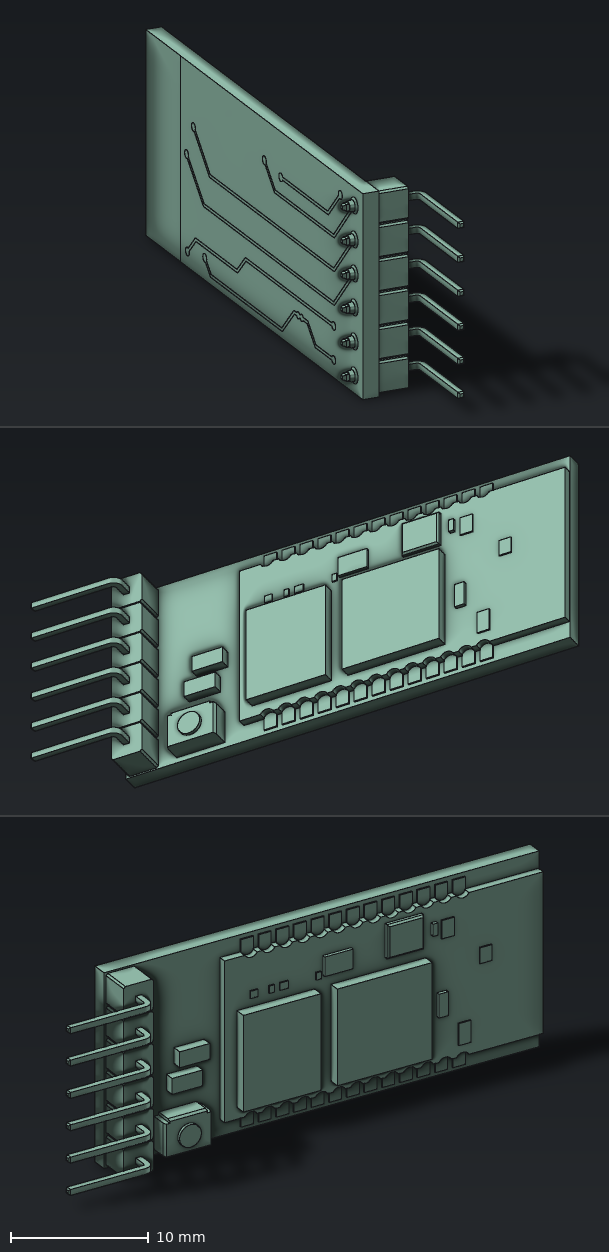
import cadquery as cq


BOARD_LENGTH = 37.0
BOARD_WIDTH = 16.0
BOARD_THICKNESS = 1.3
KEEPOUT_LENGTH = 5.93
MASK_THICKNESS = 0.01

TRACE_WIDTH = 0.25
TRACE_HEIGHT = 0.015
VIA_DIAMETER = 0.65
SMALL_VIA_DIAMETER = 0.55

PIN_COUNT = 6
PIN_PITCH = 2.64
PIN_X = 35.55
PIN_SIZE = 0.5
PIN_TOP_Y = 5.55
PIN_TIP_Y = -1.0
PIN_TIP_X = 42.58
TAIL_TAPER_LENGTH = 0.25
HEAD_TAPER_LENGTH = 0.15
TAPER_SIZE = 0.28
BEND_RADIUS = 0.75
HOUSING_SIZE = 2.54
HOUSING_HEIGHT = 2.45
HOUSING_CHAMFER = 0.15
SOLDER_FOOT_RADIUS = 0.63
SOLDER_NECK_RADIUS = 0.45
SOLDER_FOOT_HEIGHT = 0.14
SOLDER_TOP_RADIUS = 0.38
SOLDER_HEIGHT = 0.52

MODULE_X = 0.05
MODULE_LENGTH = 27.1
MODULE_WIDTH = 13.2
MODULE_THICKNESS = 0.65
CASTELLATION_COUNT = 13
CASTELLATION_PITCH = 1.5
CASTELLATION_DIAMETER = 1.2
CASTELLATION_OFFSET = 0.3
FIRST_CASTELLATION_X = 6.9
PAD_WIDTH = 1.05
PAD_LENGTH = 1.05
PAD_THICKNESS = 0.13
CHIP_HEIGHT = 0.9
CHIP_Z = (2.38, 10.27)
CHIP_X = [(10.05, 18.12), (19.5, 26.1)]
LOW_PART_HEIGHT = 0.12
FLAT_PART_HEIGHT = 0.28
CRYSTAL_HEIGHT = 0.4
CRYSTAL_CHAMFER = 0.15
CRYSTAL_X = (10.4, 13.5)
CRYSTAL_Z = (11.2, 14.0)

LOW_PARTS = [
    ((4.5, 5.5), (8.6, 9.9)),
    ((6.3, 7.3), (2.4, 4.2)),
    ((7.7, 8.75), (11.5, 13.0)),
    ((19.0, 19.4), (11.0, 11.6)),
    ((21.8, 22.5), (11.0, 11.6)),
    ((23.0, 23.4), (11.0, 11.6)),
    ((24.4, 25.0), (11.0, 11.6)),
]
FLAT_PARTS = [
    ((8.3, 9.1), (5.2, 7.15)),
    ((9.2, 9.6), (12.0, 13.0)),
    ((16.4, 18.8), (11.2, 12.8)),
]

BUTTON_X = (28.75, 32.75)
BUTTON_Z = (0.45, 3.15)
BUTTON_HEIGHT = 1.56
BUTTON_FRONT_INSET = 0.4
BUTTON_FRONT_DEPTH = 0.25
BUTTON_RIM_DROP = 0.3
BUTTON_RIM_INSET = 0.1
CAP_DIAMETER = 1.85
CAP_HEIGHT = 0.25
PASSIVE_HEIGHT = 0.8
PASSIVES = [
    ((28.5, 31.05), (7.0, 8.3)),
    ((29.1, 31.7), (5.0, 6.3)),
]

MODULE_TOP = BOARD_THICKNESS + MODULE_THICKNESS
MODULE_Z0 = (BOARD_WIDTH - MODULE_WIDTH) / 2
MODULE_Z1 = MODULE_Z0 + MODULE_WIDTH
HOUSING_TOP = BOARD_THICKNESS + HOUSING_HEIGHT
PIN_Z = [BOARD_WIDTH / 2 + (i - (PIN_COUNT - 1) / 2) * PIN_PITCH for i in range(PIN_COUNT)]

RIGHT_BEND_X = 32.12
RIGHT_VIA_X = 32.06
ROUTES = [
    [(8.19, 11.24), (10.98, 8.41), (RIGHT_BEND_X, 8.41), (PIN_X, PIN_Z[4])],
    [(7.01, 8.74), (9.95, 5.79), (RIGHT_BEND_X, 5.79), (PIN_X, PIN_Z[3])],
    [(7.16, 1.22), (8.57, 2.63), (15.66, 2.63), (17.08, PIN_Z[1]), (RIGHT_VIA_X, PIN_Z[1])],
    [(10.11, 1.75), (11.15, 0.71), (23.27, 0.71), (25.34, 2.78), (27.6, 2.78), (28.98, PIN_Z[0]),
     (RIGHT_VIA_X, PIN_Z[0])],
    [(20.25, 12.83), (22.05, 11.03), (RIGHT_BEND_X, 11.03), (PIN_X, PIN_Z[5])],
    [(23.06, 12.47), (31.1, 12.47), (33.2, PIN_Z[5])],
]
SMALL_VIAS = [(26.01, 2.78), (26.61, 2.78)]


def block(x_range, y_range, z_range):
    """Box between the given limits."""
    low, high = zip(x_range, y_range, z_range)
    size = [b - a for a, b in zip(low, high)]
    return cq.Workplane("XY").box(*size, centered=False).translate(low)


def rod(x, z, diameter, y_low, y_high):
    """Cylinder along Y."""
    return cq.Workplane("XZ", origin=(x, y_high, z)).circle(diameter / 2).extrude(y_high - y_low)


def make_board():
    """Carrier board whose copper face is coated except under the antenna."""
    board = block((0, BOARD_LENGTH), (MASK_THICKNESS, BOARD_THICKNESS), (0, BOARD_WIDTH))
    coated = block((KEEPOUT_LENGTH, BOARD_LENGTH), (0, BOARD_THICKNESS), (0, BOARD_WIDTH))
    return board.union(coated)


def make_trace(route):
    """Flat trace with mitred bends, half sunk in the board, and a via on each end clear of the pins."""
    path = cq.Workplane("XZ").polyline(route)
    start = cq.Vector(route[0][0], 0, route[0][1])
    heading = cq.Vector(route[1][0], 0, route[1][1]) - start
    section = cq.Workplane(cq.Plane(origin=start.toTuple(), xDir=(0, 1, 0), normal=heading.toTuple()))
    trace = section.rect(2 * TRACE_HEIGHT, TRACE_WIDTH).sweep(path, transition="right")
    for x, z in (route[0], route[-1]):
        if x != PIN_X:
            trace = trace.union(rod(x, z, VIA_DIAMETER, -TRACE_HEIGHT, BOARD_THICKNESS / 2))
    return trace


def make_pin(z):
    """Right-angle square pin, tapered at both ends."""
    left = PIN_X - PIN_SIZE / 2
    tail = PIN_TIP_Y + TAIL_TAPER_LENGTH
    head = PIN_TIP_X - HEAD_TAPER_LENGTH
    pin = (
        cq.Workplane("XY", origin=(0, 0, z - PIN_SIZE / 2))
        .moveTo(left, tail)
        .lineTo(left, PIN_TOP_Y - BEND_RADIUS)
        .radiusArc((left + BEND_RADIUS, PIN_TOP_Y), BEND_RADIUS)
        .lineTo(head, PIN_TOP_Y)
        .lineTo(head, PIN_TOP_Y - PIN_SIZE)
        .lineTo(left + BEND_RADIUS, PIN_TOP_Y - PIN_SIZE)
        .radiusArc((left + PIN_SIZE, PIN_TOP_Y - BEND_RADIUS), PIN_SIZE - BEND_RADIUS)
        .lineTo(left + PIN_SIZE, tail)
        .close()
        .extrude(PIN_SIZE)
    )
    tail_taper = (
        cq.Workplane("XZ", origin=(PIN_X, tail, z))
        .rect(PIN_SIZE, PIN_SIZE)
        .workplane(offset=TAIL_TAPER_LENGTH)
        .rect(TAPER_SIZE, TAPER_SIZE)
        .loft()
    )
    head_taper = (
        cq.Workplane("YZ", origin=(head, PIN_TOP_Y - PIN_SIZE / 2, z))
        .rect(PIN_SIZE, PIN_SIZE)
        .workplane(offset=HEAD_TAPER_LENGTH)
        .rect(TAPER_SIZE, TAPER_SIZE)
        .loft()
    )
    return pin.union(tail_taper).union(head_taper)


def make_header_position(z):
    """One pin with its chamfered housing and its solder joint."""
    half = HOUSING_SIZE / 2
    housing = block(
        (PIN_X - half, PIN_X + half), (BOARD_THICKNESS, HOUSING_TOP), (z - half, z + half)
    ).edges("|Y").chamfer(HOUSING_CHAMFER)
    solder = (
        cq.Workplane("XY", origin=(PIN_X, 0, z))
        .moveTo(0, BOARD_THICKNESS / 2)
        .lineTo(SOLDER_FOOT_RADIUS, BOARD_THICKNESS / 2)
        .lineTo(SOLDER_FOOT_RADIUS, 0)
        .lineTo(SOLDER_NECK_RADIUS, -SOLDER_FOOT_HEIGHT)
        .lineTo(SOLDER_TOP_RADIUS, -SOLDER_HEIGHT)
        .lineTo(0, -SOLDER_HEIGHT)
        .close()
        .revolve(360, (0, 0, 0), (0, 1, 0))
    )
    return housing.union(make_pin(z)).union(solder)


def make_module():
    """Radio board with castellated long edges, standing on solder pads."""
    module = block(
        (MODULE_X, MODULE_X + MODULE_LENGTH), (BOARD_THICKNESS, MODULE_TOP), (MODULE_Z0, MODULE_Z1)
    )
    half = PAD_WIDTH / 2
    pads = []
    for i in range(CASTELLATION_COUNT):
        x = FIRST_CASTELLATION_X + i * CASTELLATION_PITCH
        for edge_z, outward in ((MODULE_Z0, -1), (MODULE_Z1, 1)):
            axis_z = edge_z + outward * CASTELLATION_OFFSET
            module = module.cut(rod(x, axis_z, CASTELLATION_DIAMETER, BOARD_THICKNESS, MODULE_TOP))
            z_limits = sorted((edge_z - outward * half, edge_z + outward * PAD_LENGTH))
            pads.append(block(
                (x - half, x + half), (BOARD_THICKNESS, BOARD_THICKNESS + PAD_THICKNESS), z_limits
            ))
    for pad in pads:
        module = module.union(pad)
    return module


def make_module_parts():
    """Chips, crystal and small parts on top of the module."""
    parts = [block(x, (MODULE_TOP, MODULE_TOP + CHIP_HEIGHT), CHIP_Z) for x in CHIP_X]
    parts += [block(x, (MODULE_TOP, MODULE_TOP + LOW_PART_HEIGHT), z) for x, z in LOW_PARTS]
    parts += [block(x, (MODULE_TOP, MODULE_TOP + FLAT_PART_HEIGHT), z) for x, z in FLAT_PARTS]
    crystal = block(CRYSTAL_X, (MODULE_TOP, MODULE_TOP + CRYSTAL_HEIGHT), CRYSTAL_Z)
    parts.append(crystal.faces(">Y").edges().chamfer(CRYSTAL_CHAMFER))
    return parts


def make_button():
    """Push button: a body with a raised front, and a round cap."""
    top = BOARD_THICKNESS + BUTTON_HEIGHT
    x0, x1 = BUTTON_X
    z0, z1 = BUTTON_Z
    body = block(BUTTON_X, (BOARD_THICKNESS, top), BUTTON_Z)
    body = body.faces("<X or >X").edges(">Y").chamfer(BUTTON_RIM_DROP, BUTTON_RIM_INSET)
    front = block(
        (x0 + BUTTON_FRONT_INSET, x1 - BUTTON_FRONT_INSET),
        (BOARD_THICKNESS, top),
        (z1 - BUTTON_FRONT_DEPTH, z1 + BUTTON_FRONT_DEPTH),
    ).faces(">Z").edges(">Y").chamfer(BUTTON_RIM_INSET, BUTTON_RIM_DROP)
    cap = rod((x0 + x1) / 2, (z0 + z1) / 2, CAP_DIAMETER, top, top + CAP_HEIGHT)
    return body.union(front).union(cap)


result = make_board()
for route in ROUTES:
    result = result.union(make_trace(route))
for via_x, via_z in SMALL_VIAS:
    result = result.union(rod(via_x, via_z, SMALL_VIA_DIAMETER, -TRACE_HEIGHT, BOARD_THICKNESS / 2))
result = result.union(make_module())
for part in make_module_parts():
    result = result.union(part)
result = result.union(make_button())
for x_range, z_range in PASSIVES:
    result = result.union(block(x_range, (BOARD_THICKNESS, BOARD_THICKNESS + PASSIVE_HEIGHT), z_range))
for pin_z in PIN_Z:
    result = result.union(make_header_position(pin_z))